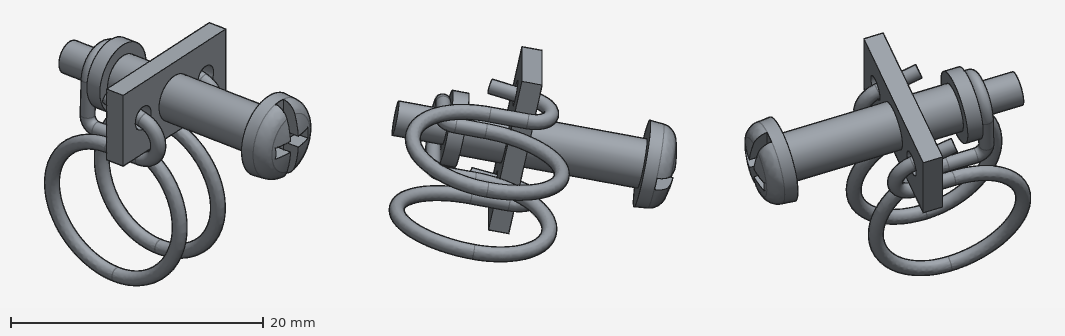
import cadquery as cq
import math


tip_diameter = 2.8
shank_diameter = 4.0
collar_diameter = 6.0
head_diameter = 7.0
collar_start = 4.06
collar_width = 1.3
head_start = 19.96
head_rim_diameter = 6.66
head_apex = 22.6
dome_radius = 8.2
head_rim_fillet = 1.35
slot_width = 1.0
slot_floor = 21.08
cross_slot_length = 4.2

plate_start = 8.88
plate_thickness = 1.65
plate_width = 13.3
plate_height = 6.5
wire_hole_diameter = 2.05
wire_hole_offset = 4.05

wire_diameter = 1.2
wire_radius = wire_diameter / 2
saddle_radius = (tip_diameter + wire_diameter) / 2
saddle_x = collar_start - wire_radius
leg_splay_angle = 2.5
foot_bend_radius = 0.95
run_z = -4.05
ring_inner_diameter = 11.0
ring_radius = (ring_inner_diameter + wire_diameter) / 2
ring_x = 6.86
ring_bottom_y = 2.78
ring_end_y = 3.67
hook_start_x = 9.93
hook_radius = 1.91
hook_end_x = 6.87
hook_rise_angle = 14.0
hook_splay_angle = 3.6


def x_cylinder(diameter, start, end):
    return cq.Workplane("YZ", origin=(start, 0, 0)).circle(diameter / 2).extrude(end - start)


def make_head():
    head_radius = head_diameter / 2
    dome_centre_x = head_apex - dome_radius

    def dome_x(radius):
        return dome_centre_x + math.sqrt(dome_radius**2 - radius**2)

    rim_radius = head_rim_diameter / 2
    rim_x = dome_x(rim_radius)
    mid_radius = rim_radius / 2
    blank = (
        cq.Workplane("XY")
        .moveTo(head_start, 0)
        .lineTo(head_start, head_radius)
        .lineTo(rim_x, rim_radius)
        .threePointArc((dome_x(mid_radius), mid_radius), (head_apex, 0))
        .close()
        .revolve(360, (0, 0, 0), (1, 0, 0))
    )
    rim_edge = cq.selectors.NearestToPointSelector((rim_x, 0, 0))
    head = blank.edges(rim_edge).fillet(head_rim_fillet)

    slot_depth = head_apex - slot_floor
    floor_plane = cq.Workplane("YZ", origin=(slot_floor, 0, 0))
    through_slot = floor_plane.rect(slot_width, 2 * head_diameter).extrude(slot_depth)
    cross_slot = floor_plane.rect(cross_slot_length, slot_width).extrude(slot_depth)
    return head.cut(through_slot).cut(cross_slot)


def make_screw():
    collar_end = collar_start + collar_width
    tip = x_cylinder(tip_diameter, 0, collar_start)
    collar = x_cylinder(collar_diameter, collar_start, collar_end)
    shank = x_cylinder(shank_diameter, collar_end, head_start)
    return tip.union(collar).union(shank).union(make_head())


def make_plate():
    start_plane = cq.Workplane("YZ", origin=(plate_start, 0, 0))
    blank = start_plane.rect(plate_width, plate_height).extrude(plate_thickness)
    shank_hole = start_plane.circle(shank_diameter / 2).extrude(plate_thickness)
    wire_holes = (
        start_plane.pushPoints([(wire_hole_offset, 0), (-wire_hole_offset, 0)])
        .circle(wire_hole_diameter / 2)
        .extrude(plate_thickness)
    )
    return blank.cut(shank_hole).cut(wire_holes)


splay = math.radians(leg_splay_angle)
saddle_end_y = saddle_radius * math.cos(splay)
saddle_end_z = saddle_radius * math.sin(splay)


def leg_y(z):
    return saddle_end_y + (saddle_end_z - z) * math.tan(splay)


rise = math.radians(hook_rise_angle)
hook_centre_z = run_z + hook_radius
bend_end_x = hook_start_x + hook_radius * math.sin(rise)
bend_end_z = hook_centre_z + hook_radius * math.cos(rise)
hook_end_z = bend_end_z + (bend_end_x - hook_end_x) * math.tan(rise)


def hook_y(z):
    return ring_end_y + (z - run_z) * math.tan(math.radians(hook_splay_angle))


def ring_half(side, direction, top_y):
    """Half turn of the ring, from its top to its bottom, bulging along X in the direction."""
    ring_z = run_z - ring_radius
    bulge = math.hypot(ring_radius, (top_y - ring_bottom_y) / 2)
    middle_y = (top_y + ring_bottom_y) / 2
    return cq.Edge.makeThreePointArc(
        cq.Vector(ring_x, side * top_y, run_z),
        cq.Vector(ring_x + direction * bulge, side * middle_y, ring_z),
        cq.Vector(ring_x, side * ring_bottom_y, ring_z - ring_radius),
    )


def half_centreline(side):
    """Wire centreline from the saddle to the cut end; side is +1 or -1 along Y."""

    def leg_point(x, z):
        return cq.Vector(x, side * leg_y(z), z)

    def hook_point(x, z):
        return cq.Vector(x, side * hook_y(z), z)

    foot_centre_x = saddle_x + foot_bend_radius
    foot_centre_z = run_z + foot_bend_radius
    foot_diagonal = foot_bend_radius * math.sqrt(0.5)
    leg_top = leg_point(saddle_x, saddle_end_z)
    leg_bottom = leg_point(saddle_x, foot_centre_z)
    foot_middle = leg_point(foot_centre_x - foot_diagonal, foot_centre_z - foot_diagonal)
    foot_end = leg_point(foot_centre_x, run_z)
    ring_start = leg_point(ring_x, run_z)

    ring_end = hook_point(ring_x, run_z)
    hook_start = hook_point(hook_start_x, run_z)
    hook_middle = hook_point(hook_start_x + hook_radius, hook_centre_z)
    bend_end = hook_point(bend_end_x, bend_end_z)
    hook_end = hook_point(hook_end_x, hook_end_z)

    return [
        cq.Edge.makeLine(leg_top, leg_bottom),
        cq.Edge.makeThreePointArc(leg_bottom, foot_middle, foot_end),
        cq.Edge.makeLine(foot_end, ring_start),
        ring_half(side, 1, leg_y(run_z)),
        ring_half(side, -1, ring_end_y),
        cq.Edge.makeLine(ring_end, hook_start),
        cq.Edge.makeThreePointArc(hook_start, hook_middle, bend_end),
        cq.Edge.makeLine(bend_end, hook_end),
    ]


def make_clip():
    saddle = cq.Edge.makeThreePointArc(
        cq.Vector(saddle_x, saddle_end_y, saddle_end_z),
        cq.Vector(saddle_x, 0, saddle_radius),
        cq.Vector(saddle_x, -saddle_end_y, saddle_end_z),
    )
    centreline = cq.Wire.assembleEdges([*reversed(half_centreline(1)), saddle, *half_centreline(-1)])

    end_point = cq.Vector(hook_end_x, hook_y(hook_end_z), hook_end_z)
    bend_point = cq.Vector(bend_end_x, hook_y(bend_end_z), bend_end_z)
    end_plane = cq.Plane(origin=end_point, normal=bend_point - end_point)
    return cq.Workplane(end_plane).circle(wire_radius).sweep(cq.Workplane(centreline))


screw = make_screw()
plate = make_plate()
clip = make_clip()

result = cq.Compound.makeCompound([screw.solids().val(), plate.solids().val(), clip.solids().val()])